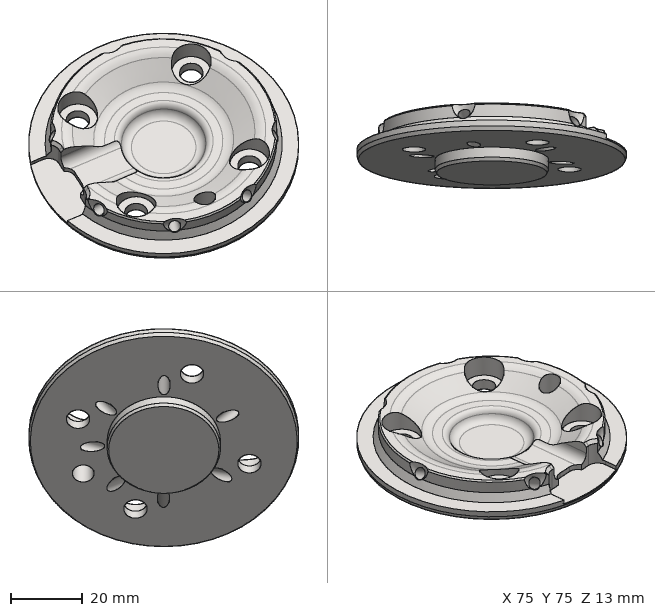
import cadquery as cq
import math

BOSS_CHAMFER_TOP = 1.0
FLANGE_BOTTOM = 3.8
FLANGE_CHAMFER_TOP = 5.0
POCKET_FLOOR = 5.5
FLANGE_TOP = 6.7
CHANNEL_FLOOR = 7.05
COUNTERBORE_FLOOR = 7.0
BOWL_FLOOR = 7.95
NECK_TOP = 9.1
RIM_CHAMFER_BOTTOM = 12.5
HEIGHT = 13.0

FLANGE_RADIUS = 37.5
BOSS_RADIUS = 15.75
EDGE_CHAMFER = 0.45
NECK_RADIUS = 32.9
RIM_RADIUS = 31.5

BOWL_RIM_RADIUS = 28.35
BOWL_FLAT_RADIUS = 16.4
BOWL_WALL_ANGLE = 30.0

DISH_LIP_RADIUS = 13.7
DISH_LIP_FILLET = 2.2
DISH_FLOOR_FILLET = 3.0
DISH_WALL_ANGLE = 67.0

BOLT_CIRCLE_RADIUS = 25.05
SCREW_ANGLES = [45, 135, 225, 315]
SCREW_HOLE_DIAMETER = 6.45
COUNTERBORE_DIAMETER = 11.0
PIN_HOLE_DIAMETER = 6.0

OBLIQUE_ANGLES = [180.0, 117.0, -117.0, 63.0, -63.0, 21.5, -21.5]
OBLIQUE_DIAMETER = 3.4
OBLIQUE_TILT = 30.0
MOUTH_RADIUS = 30.75
MOUTH_HEIGHT = 10.1
COUNTERSINK_HALF_ANGLE = 51.0
COUNTERSINK_LENGTH = 2.55

POCKET_WIDTH = 22.35
POCKET_BACK_Y = -28.6
POCKET_CORNER_RADIUS = 3.3
POCKET_CHAMFER = 1.0
NOTCH_WIDTH = 10.2
NOTCH_BACK_Y = -26.55
NOTCH_CORNER_RADIUS = 3.0
CHANNEL_WIDTH = 13.8
CHANNEL_FILLET = 3.0
CHANNEL_END_Y = -9.0

OVERCUT = 3.75


def flanged_body():
    """Round body: chamfered boss, flange, tapered neck and rim."""
    profile = [
        (0, 0),
        (BOSS_RADIUS - EDGE_CHAMFER, 0),
        (BOSS_RADIUS, BOSS_CHAMFER_TOP),
        (BOSS_RADIUS, FLANGE_BOTTOM),
        (FLANGE_RADIUS - EDGE_CHAMFER, FLANGE_BOTTOM),
        (FLANGE_RADIUS, FLANGE_CHAMFER_TOP),
        (FLANGE_RADIUS, FLANGE_TOP),
        (NECK_RADIUS, FLANGE_TOP),
        (RIM_RADIUS, NECK_TOP),
        (RIM_RADIUS, RIM_CHAMFER_BOTTOM),
        (RIM_RADIUS - EDGE_CHAMFER, HEIGHT),
        (0, HEIGHT),
    ]
    return cq.Workplane("XZ").polyline(profile).close().revolve(360, (0, 0), (0, 1))


def polar(center, radius, angle):
    """Point at an angle in degrees on a circle in the radius-height plane."""
    a = math.radians(angle)
    return (center[0] + radius * math.cos(a), center[1] + radius * math.sin(a))


def bowl():
    """Volume of the bowl and the dish below it."""
    depth = HEIGHT - BOWL_FLOOR
    width = BOWL_RIM_RADIUS - BOWL_FLAT_RADIUS
    slope = math.radians(BOWL_WALL_ANGLE)
    blend = (width - depth / math.tan(slope)) / (2 * math.tan(slope / 2))
    rim_center = (BOWL_RIM_RADIUS, HEIGHT - blend)
    flat_center = (BOWL_FLAT_RADIUS, BOWL_FLOOR + blend)

    wall = math.radians(DISH_WALL_ANGLE)
    fillets = DISH_LIP_FILLET + DISH_FLOOR_FILLET
    dish_floor = BOWL_FLOOR - fillets * (1 - math.cos(wall))
    dish_floor_radius = DISH_LIP_RADIUS - fillets * math.sin(wall)
    lip_center = (DISH_LIP_RADIUS, BOWL_FLOOR - DISH_LIP_FILLET)
    floor_center = (dish_floor_radius, dish_floor + DISH_FLOOR_FILLET)

    top = HEIGHT + OVERCUT
    return (
        cq.Workplane("XZ")
        .moveTo(0, dish_floor)
        .lineTo(dish_floor_radius, dish_floor)
        .threePointArc(
            polar(floor_center, DISH_FLOOR_FILLET, -90 + DISH_WALL_ANGLE / 2),
            polar(floor_center, DISH_FLOOR_FILLET, -90 + DISH_WALL_ANGLE),
        )
        .threePointArc(
            polar(lip_center, DISH_LIP_FILLET, 90 + DISH_WALL_ANGLE / 2),
            (DISH_LIP_RADIUS, BOWL_FLOOR),
        )
        .lineTo(BOWL_FLAT_RADIUS, BOWL_FLOOR)
        .threePointArc(
            polar(flat_center, blend, -90 + BOWL_WALL_ANGLE / 2),
            polar(flat_center, blend, -90 + BOWL_WALL_ANGLE),
        )
        .lineTo(*polar(rim_center, blend, 90 + BOWL_WALL_ANGLE))
        .threePointArc(
            polar(rim_center, blend, 90 + BOWL_WALL_ANGLE / 2),
            (BOWL_RIM_RADIUS, HEIGHT),
        )
        .lineTo(BOWL_RIM_RADIUS, top)
        .lineTo(0, top)
        .close()
        .revolve(360, (0, 0), (0, 1))
    )


def upright_cylinder(x, y, diameter, bottom):
    """Vertical cutting cylinder from a height up past the top."""
    height = HEIGHT + OVERCUT - bottom
    return cq.Workplane("XY", origin=(x, y, bottom)).circle(diameter / 2).extrude(height)


def bolt_circle_holes():
    """Four counterbored screw holes and one plain pin hole."""
    holes = upright_cylinder(BOLT_CIRCLE_RADIUS, 0, PIN_HOLE_DIAMETER, -OVERCUT)
    for angle in SCREW_ANGLES:
        x, y = polar((0, 0), BOLT_CIRCLE_RADIUS, angle)
        holes = holes.union(upright_cylinder(x, y, SCREW_HOLE_DIAMETER, -OVERCUT))
        holes = holes.union(upright_cylinder(x, y, COUNTERBORE_DIAMETER, COUNTERBORE_FLOOR))
    return holes


def oblique_hole(angle):
    """Countersunk hole running from the rim down and inward to the flange underside."""
    radius = OBLIQUE_DIAMETER / 2
    tilt = math.radians(OBLIQUE_TILT)
    depth = (MOUTH_HEIGHT - FLANGE_BOTTOM + radius) / math.sin(tilt)
    wide_radius = radius + COUNTERSINK_LENGTH * math.tan(math.radians(COUNTERSINK_HALF_ANGLE))
    profile = [
        (0, -depth),
        (radius, -depth),
        (radius, 0),
        (wide_radius, COUNTERSINK_LENGTH),
        (0, COUNTERSINK_LENGTH),
    ]
    hole = cq.Workplane("XZ").polyline(profile).close().revolve(360, (0, 0), (0, 1))
    return (
        hole.rotate((0, 0, 0), (0, 1, 0), 90 - OBLIQUE_TILT)
        .translate((MOUTH_RADIUS, 0, MOUTH_HEIGHT))
        .rotate((0, 0, 0), (0, 0, 1), angle)
    )


def edge_recess(width, back_y, corner_radius, bottom):
    """Recess open at the -Y edge, with its two inner corners rounded."""
    length = FLANGE_RADIUS + OVERCUT + back_y
    return (
        cq.Workplane("XY", origin=(0, back_y - length / 2, bottom))
        .rect(width, length)
        .extrude(HEIGHT + OVERCUT - bottom)
        .edges("|Z and >Y")
        .fillet(corner_radius)
    )


def pocket():
    """Edge pocket whose mouth widens in a chamfer at the top of the rim."""
    recess = edge_recess(POCKET_WIDTH, POCKET_BACK_Y, POCKET_CORNER_RADIUS, POCKET_FLOOR)
    flare = (
        edge_recess(
            POCKET_WIDTH + 2 * POCKET_CHAMFER,
            POCKET_BACK_Y + POCKET_CHAMFER,
            POCKET_CORNER_RADIUS + POCKET_CHAMFER,
            HEIGHT - POCKET_CHAMFER,
        )
        .faces("<Z")
        .edges()
        .chamfer(POCKET_CHAMFER)
    )
    return recess.union(flare)


def channel():
    """Round-bottomed channel from the pocket into the dish."""
    length = CHANNEL_END_Y - POCKET_BACK_Y + OVERCUT
    height = HEIGHT + OVERCUT - CHANNEL_FLOOR
    return (
        cq.Workplane("XY", origin=(0, CHANNEL_END_Y - length / 2, CHANNEL_FLOOR))
        .rect(CHANNEL_WIDTH, length)
        .extrude(height)
        .edges("|Y and <Z")
        .fillet(CHANNEL_FILLET)
    )


result = flanged_body().cut(bowl()).cut(bolt_circle_holes())
for hole_angle in OBLIQUE_ANGLES:
    result = result.cut(oblique_hole(hole_angle))
result = result.cut(channel()).cut(pocket())
result = result.cut(edge_recess(NOTCH_WIDTH, NOTCH_BACK_Y, NOTCH_CORNER_RADIUS, POCKET_FLOOR))